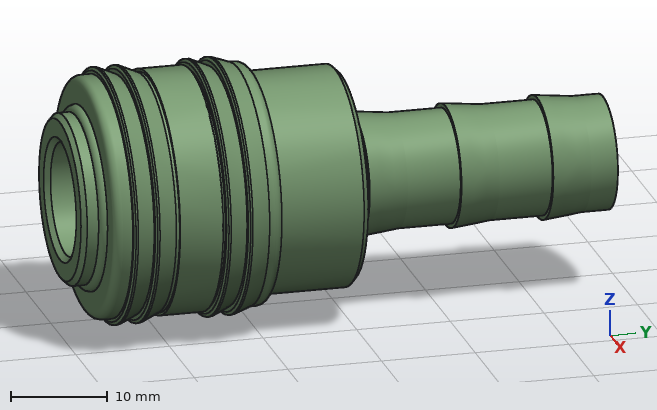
import cadquery as cq
import math

LENGTH = 58.0

NOSE_RADIUS = 9.0
NOSE_CHAMFER = 0.5
COLLAR_RADIUS = 9.75

SLEEVE_START = 2.5
SLEEVE_END = 20.55
SLEEVE_RADIUS = 12.7
SLEEVE_FILLET = 0.85
BAND_START = 9.45
BAND_END = 14.05
BAND_RADIUS = 12.8

RIDGE_STARTS = (4.4, 6.7, 14.3, 16.65)
RIDGE_PITCH = 2.4
RIDGE_RADIUS = 13.4
RIDGE_FACE_RADIUS = 13.05
RIDGE_BEVEL = 0.2
RIDGE_CREST = 0.25
GROOVE_RADIUS = 12.5

BODY_END = 30.0
BODY_RADIUS = 11.6
BODY_CHAMFER = 0.6

TAIL_RADIUS = 6.05
BARB_RADIUS = 6.5
BARB_LENGTH = 4.2
BARB_PITCH = 9.8
BARB_COUNT = 3
FIRST_BARB = 31.4

BORE_RADIUS = 3.5
SOCKET_RADIUS = 6.0
SOCKET_CHAMFER = 0.6
SOCKET_DEPTH = 23.2


def cylinder(radius, start, end):
    """Solid cylinder along +Y between two positions."""
    return cq.Workplane("XZ", origin=(0, start, 0)).circle(radius).extrude(start - end)


def turned(points):
    """Revolve a closed (radius, position) outline about the Y axis."""
    return cq.Workplane("XY").polyline(points).close().revolve(360, (0, 0, 0), (0, 1, 0))


def make_nose():
    nose = cylinder(NOSE_RADIUS, 0, SLEEVE_START).faces("<Y").edges().chamfer(NOSE_CHAMFER)
    round_radius = COLLAR_RADIUS - NOSE_RADIUS
    diagonal = round_radius * math.sqrt(0.5)
    collar = (
        cq.Workplane("XY")
        .moveTo(0, SLEEVE_START - round_radius)
        .lineTo(NOSE_RADIUS, SLEEVE_START - round_radius)
        .threePointArc(
            (NOSE_RADIUS + diagonal, SLEEVE_START - diagonal),
            (COLLAR_RADIUS, SLEEVE_START),
        )
        .lineTo(0, SLEEVE_START)
        .close()
        .revolve(360, (0, 0, 0), (0, 1, 0))
    )
    return nose.union(collar)


def make_ridge(start, root_radius):
    crest_start = start + RIDGE_BEVEL
    end = start + RIDGE_PITCH
    return turned([
        (0, start),
        (RIDGE_FACE_RADIUS, start),
        (RIDGE_RADIUS, crest_start),
        (RIDGE_RADIUS, crest_start + RIDGE_CREST),
        (root_radius, end),
        (0, end),
    ])


def make_sleeve():
    first_ridge = RIDGE_STARTS[0]
    last_ridge = RIDGE_STARTS[-1]
    rear_land = last_ridge + RIDGE_PITCH

    front = cylinder(SLEEVE_RADIUS, SLEEVE_START, first_ridge).faces("<Y").edges().fillet(SLEEVE_FILLET)
    rear = cylinder(SLEEVE_RADIUS, rear_land, SLEEVE_END).faces(">Y").edges().fillet(SLEEVE_FILLET)
    core = cylinder(GROOVE_RADIUS, first_ridge, rear_land)
    sleeve = front.union(core).union(rear)

    sleeve = sleeve.union(cylinder(BAND_RADIUS, BAND_START, BAND_END))
    for start in RIDGE_STARTS[:-1]:
        sleeve = sleeve.union(make_ridge(start, GROOVE_RADIUS))
    return sleeve.union(make_ridge(last_ridge, SLEEVE_RADIUS))


def make_body():
    body = cylinder(BODY_RADIUS, SLEEVE_END, BODY_END)
    return body.faces(">Y").edges().chamfer(BODY_CHAMFER)


def make_tail():
    tail = cylinder(TAIL_RADIUS, BODY_END, LENGTH)
    for index in range(BARB_COUNT):
        base = FIRST_BARB + index * BARB_PITCH
        barb = turned([
            (0, base),
            (BARB_RADIUS, base),
            (TAIL_RADIUS, base + BARB_LENGTH),
            (0, base + BARB_LENGTH),
        ])
        tail = tail.union(barb)
    return tail


def make_bore():
    through = cylinder(BORE_RADIUS, 0, LENGTH)
    socket = cylinder(SOCKET_RADIUS, 0, SOCKET_DEPTH)
    entry = turned([
        (0, 0),
        (SOCKET_RADIUS + SOCKET_CHAMFER, 0),
        (SOCKET_RADIUS, SOCKET_CHAMFER),
        (0, SOCKET_CHAMFER),
    ])
    return through.union(socket).union(entry)


result = make_sleeve().union(make_nose()).union(make_body()).union(make_tail()).cut(make_bore())